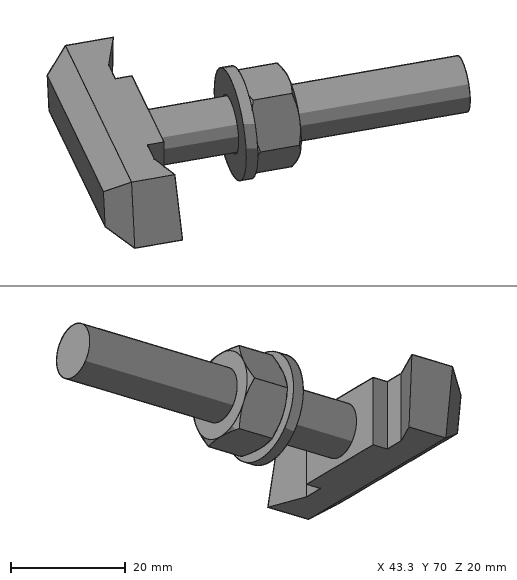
import cadquery as cq
import math

OVERALL_LENGTH = 70.0
SHANK_DIAMETER = 10.0

HEAD_WIDTH = 43.3
HEAD_HEIGHT = 12.95
HEAD_DEPTH = 13.0
HEAD_SKEW = 2.0
TAPER_DEPTH = 4.35
TAPER_ANGLE = 35.0
BOSS_WIDTH = 20.0
NOTCH_DEPTH = 3.0
NOTCH_FLOOR_END = 14.2

WASHER_DIAMETER = 20.0
WASHER_BORE = 10.5
WASHER_THICKNESS = 2.1
WASHER_START = 27.9

NUT_ACROSS_FLATS = 15.95
NUT_THICKNESS = 8.5
NUT_CHAMFER_ANGLE = 30.0
NUT_START = WASHER_START + WASHER_THICKNESS


def plane_at(y):
    """Plane across the bolt axis, with local x = X, local y = Z and normal = +Y."""
    return cq.Plane(origin=(0, y, 0), xDir=(1, 0, 0), normal=(0, 1, 0))


def plane_facing_front(y):
    """Plane across the bolt axis, with local x = X, local y = Z and normal = -Y."""
    return cq.Plane(origin=(0, y, 0), xDir=(1, 0, 0), normal=(0, -1, 0))


def head_outline(workplane):
    """Parallelogram cross-section of the head."""
    half_width = HEAD_WIDTH / 2
    half_height = HEAD_HEIGHT / 2
    return workplane.polyline([
        (-half_width, half_height),
        (half_width - HEAD_SKEW, half_height),
        (half_width, -half_height),
        (-half_width + HEAD_SKEW, -half_height),
    ]).close()


def jaw_notch(side):
    """Cutter for the flat and sloped notch beside the boss; side is -1 or 1."""
    floor = HEAD_DEPTH - NOTCH_DEPTH
    return (
        cq.Workplane("XY")
        .polyline([
            (side * BOSS_WIDTH / 2, HEAD_DEPTH),
            (side * BOSS_WIDTH / 2, floor),
            (side * NOTCH_FLOOR_END, floor),
            (side * HEAD_WIDTH / 2, HEAD_DEPTH),
        ])
        .close()
        .extrude(HEAD_HEIGHT, both=True)
    )


def make_bolt():
    """Hammer head with a tapered front and two notched jaws, plus the round shank."""
    straight = head_outline(cq.Workplane(plane_facing_front(HEAD_DEPTH))).extrude(HEAD_DEPTH - TAPER_DEPTH)
    tapered = head_outline(cq.Workplane(plane_facing_front(TAPER_DEPTH))).extrude(
        TAPER_DEPTH, taper=TAPER_ANGLE
    )
    bolt = straight.union(tapered)
    for side in (-1, 1):
        bolt = bolt.cut(jaw_notch(side))
    shank = (
        cq.Workplane(plane_at(HEAD_DEPTH))
        .circle(SHANK_DIAMETER / 2)
        .extrude(OVERALL_LENGTH - HEAD_DEPTH)
    )
    return bolt.union(shank)


def make_washer():
    """Flat ring with a clearance hole for the shank."""
    return (
        cq.Workplane(plane_at(WASHER_START))
        .circle(WASHER_DIAMETER / 2)
        .circle(WASHER_BORE / 2)
        .extrude(WASHER_THICKNESS)
    )


def make_nut():
    """Hexagon nut with flats above and below, and its corners chamfered at both ends."""
    flat_radius = NUT_ACROSS_FLATS / 2
    corner_radius = flat_radius / math.cos(math.pi / 6)
    chamfer_height = (corner_radius - flat_radius) * math.tan(math.radians(NUT_CHAMFER_ANGLE))
    nut_end = NUT_START + NUT_THICKNESS
    prism = (
        cq.Workplane(plane_at(NUT_START))
        .polygon(6, 2 * corner_radius)
        .circle(SHANK_DIAMETER / 2)
        .extrude(NUT_THICKNESS)
    )
    chamfer_envelope = (
        cq.Workplane("XY")
        .polyline([
            (0, NUT_START),
            (flat_radius, NUT_START),
            (corner_radius, NUT_START + chamfer_height),
            (corner_radius, nut_end - chamfer_height),
            (flat_radius, nut_end),
            (0, nut_end),
        ])
        .close()
        .revolve(360, (0, 0, 0), (0, 1, 0))
    )
    return prism.intersect(chamfer_envelope)


bolt = make_bolt()
washer = make_washer()
nut = make_nut()

result = cq.Compound.makeCompound([bolt.val(), washer.val(), nut.val()])